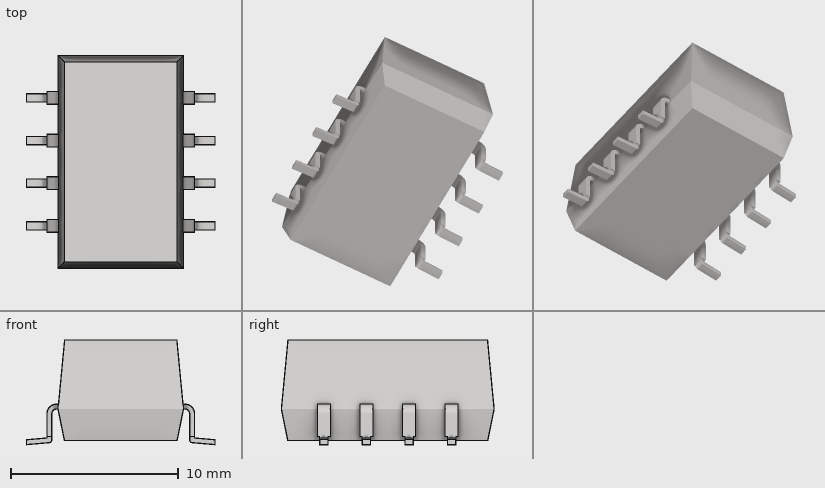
import cadquery as cq
import math

body_width = 7.49
body_length = 12.7
body_bottom = 0.25
parting_height = 2.12
body_top = 6.25
upper_inset = 0.4
lower_inset = 0.38

lead_span = 11.25
lead_thickness = 0.3
shank_face = 4.41
shoulder_radius = 0.57
heel_radius = 0.19
foot_slope = 5.0
lead_root = 3.18
shank_width = 0.77
foot_width = 0.51
narrow_height = 0.48
lead_pitch = 2.54
leads_per_side = 4


def tapered_half(height, inset):
    """Frustum from the parting plane to the given height, inset on all four sides."""
    return (
        cq.Workplane("XY", origin=(0, 0, parting_height))
        .rect(body_width, body_length)
        .workplane(offset=height - parting_height)
        .rect(body_width - 2 * inset, body_length - 2 * inset)
        .loft(ruled=True)
    )


def shank():
    """Wide upper part of a lead on the +X side: root, rounded shoulder and upright."""
    inner_face = shank_face - lead_thickness
    inner_radius = shoulder_radius - lead_thickness
    bend_x = shank_face - shoulder_radius
    bend_z = parting_height - inner_radius
    diagonal = math.sqrt(0.5)
    return (
        cq.Workplane("XZ")
        .moveTo(lead_root, parting_height)
        .lineTo(bend_x, parting_height)
        .threePointArc(
            (bend_x + inner_radius * diagonal, bend_z + inner_radius * diagonal),
            (inner_face, bend_z),
        )
        .lineTo(inner_face, narrow_height)
        .lineTo(shank_face, narrow_height)
        .lineTo(shank_face, bend_z)
        .threePointArc(
            (bend_x + shoulder_radius * diagonal, bend_z + shoulder_radius * diagonal),
            (bend_x, bend_z + shoulder_radius),
        )
        .lineTo(lead_root, bend_z + shoulder_radius)
        .close()
        .extrude(shank_width / 2, both=True)
    )


def foot():
    """Narrow lower part of a lead on the +X side, falling gently outwards from a rounded heel."""
    inner_face = shank_face - lead_thickness
    tip = lead_span / 2
    slope = math.tan(math.radians(foot_slope))
    heel_z = (tip - inner_face) * slope
    toe_top_z = lead_thickness + (tip - shank_face) * slope
    return (
        cq.Workplane("XZ")
        .moveTo(inner_face, narrow_height)
        .lineTo(inner_face, heel_z)
        .lineTo(tip, 0)
        .lineTo(tip, lead_thickness)
        .lineTo(shank_face, toe_top_z)
        .lineTo(shank_face, narrow_height)
        .close()
        .extrude(foot_width / 2, both=True)
        .edges(cq.selectors.NearestToPointSelector((inner_face, 0, heel_z)))
        .fillet(heel_radius)
    )


upper_half = tapered_half(body_top, upper_inset)
lower_half = tapered_half(body_bottom, lower_inset)
result = upper_half.union(lower_half)

right_lead = shank().union(foot())
left_lead = right_lead.mirror("YZ")
for index in range(leads_per_side):
    lead_y = (index - (leads_per_side - 1) / 2) * lead_pitch
    for lead in (right_lead, left_lead):
        result = result.union(lead.translate((0, lead_y, 0)))